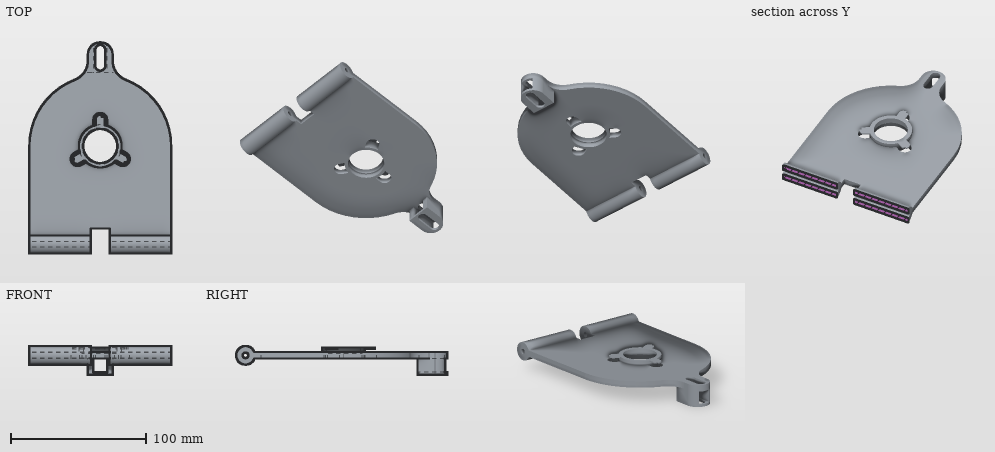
import cadquery as cq
import math

plate_width = 105.0
plate_thickness = 5.0
plate_radius = plate_width / 2
plate_top = plate_thickness / 2
plate_bottom = -plate_top

hinge_diameter = 14.0
hinge_pin_diameter = 4.0
hinge_y = -72.5
hinge_gap_width = 13.7
hinge_gap_end_y = -61.0

lug_width = 18.5
lug_radius = lug_width / 2
lug_tip_y = 76.72
lug_center_y = lug_tip_y - lug_radius
lug_blend_radius = 15.0
lug_slot_width = 7.2
lug_slot_length = 19.0
lug_slot_margin = 2.0

box_length = 22.25
box_height = 12.0
box_floor_thickness = 2.0
box_channel_width = 10.0
box_bottom = plate_bottom - box_height

ring_outer_diameter = 31.6
ring_bore_diameter = 25.06
ring_recess_diameter = 27.0
ring_recess_depth = 4.0
ring_height = 3.3
ring_top = plate_top + ring_height
arm_count = 3
arm_first_angle = 90.0
arm_width = 7.0
arm_reach = 23.25
arm_thickness = 1.0
arm_notch_offset = 1.2
arm_notch_radius = 21.8
arm_slot_width = 10.0
arm_slot_reach = 24.3


def extruded_between(sketch, bottom, top):
    return sketch.extrude(top - bottom).translate((0, 0, bottom))


def disc(diameter, bottom, top):
    return extruded_between(cq.Workplane("XY").circle(diameter / 2), bottom, top)


def make_plate():
    blend_x = lug_radius + lug_blend_radius
    center_distance = plate_radius + lug_blend_radius
    blend_y = math.sqrt(center_distance**2 - blend_x**2)
    blend_angle = math.atan2(blend_y, blend_x)
    touch_x = plate_radius * math.cos(blend_angle)
    touch_y = plate_radius * math.sin(blend_angle)
    shoulder_x = plate_radius * math.cos(blend_angle / 2)
    shoulder_y = plate_radius * math.sin(blend_angle / 2)
    middle_angle = (blend_angle + 2 * math.pi) / 2
    middle_x = blend_x + lug_blend_radius * math.cos(middle_angle)
    middle_y = blend_y + lug_blend_radius * math.sin(middle_angle)
    outline = (
        cq.Workplane("XY")
        .moveTo(-plate_radius, hinge_y)
        .lineTo(plate_radius, hinge_y)
        .lineTo(plate_radius, 0)
        .threePointArc((shoulder_x, shoulder_y), (touch_x, touch_y))
        .threePointArc((middle_x, middle_y), (lug_radius, blend_y))
        .lineTo(lug_radius, lug_center_y)
        .threePointArc((0, lug_tip_y), (-lug_radius, lug_center_y))
        .lineTo(-lug_radius, blend_y)
        .threePointArc((-middle_x, middle_y), (-touch_x, touch_y))
        .threePointArc((-shoulder_x, shoulder_y), (-plate_radius, 0))
        .close()
    )
    return extruded_between(outline, plate_bottom, plate_top)


def make_hinge_barrel():
    return (
        cq.Workplane("YZ")
        .center(hinge_y, 0)
        .circle(hinge_diameter / 2)
        .extrude(plate_width / 2, both=True)
    )


def make_hinge_cuts():
    pin_hole = (
        cq.Workplane("YZ")
        .center(hinge_y, 0)
        .circle(hinge_pin_diameter / 2)
        .extrude(plate_width / 2, both=True)
    )
    gap_start_y = hinge_y - hinge_diameter / 2
    gap_length = hinge_gap_end_y - gap_start_y
    gap = (
        cq.Workplane("XY")
        .box(hinge_gap_width, gap_length, hinge_diameter)
        .translate((0, gap_start_y + gap_length / 2, 0))
    )
    return pin_hole.union(gap)


def make_lug_box():
    box_back_y = lug_tip_y - box_length
    outline = (
        cq.Workplane("XY")
        .moveTo(-lug_radius, box_back_y)
        .lineTo(lug_radius, box_back_y)
        .lineTo(lug_radius, lug_center_y)
        .threePointArc((0, lug_tip_y), (-lug_radius, lug_center_y))
        .close()
    )
    box = extruded_between(outline, box_bottom, plate_bottom)
    channel_center_y = lug_tip_y - box_length / 2
    channel_profile = cq.Workplane("XY").center(0, channel_center_y).rect(box_channel_width, box_length)
    channel = extruded_between(channel_profile, box_bottom + box_floor_thickness, plate_bottom)
    return box.cut(channel)


def make_lug_slot():
    slot_center_y = lug_tip_y - lug_slot_margin - lug_slot_length / 2
    slot = cq.Workplane("XY").center(0, slot_center_y).slot2D(lug_slot_length, lug_slot_width, 90)
    return extruded_between(slot, box_bottom, plate_top)


def repeated_around_ring(arm):
    """Copies of a shape pointing along +X, spread evenly about the ring axis."""
    copies = cq.Workplane("XY")
    for index in range(arm_count):
        angle = arm_first_angle + index * 360 / arm_count
        copies = copies.union(arm.rotate((0, 0, 0), (0, 0, 1), angle))
    return copies


def round_ended_bar(width, reach, bottom, top):
    """Bar from the ring axis along +X with a rounded outer end."""
    straight = reach - width / 2
    outline = (
        cq.Workplane("XY")
        .moveTo(0, -width / 2)
        .lineTo(straight, -width / 2)
        .threePointArc((reach, 0), (straight, width / 2))
        .lineTo(0, width / 2)
        .close()
    )
    return extruded_between(outline, bottom, top)


def make_arm():
    arm_bottom = ring_top - arm_thickness
    notch_length = arm_reach - arm_notch_radius
    notch_width = arm_width / 2 - arm_notch_offset
    notch_outline = (
        cq.Workplane("XY")
        .center(arm_notch_radius + notch_length / 2, -arm_notch_offset - notch_width / 2)
        .rect(notch_length, notch_width)
    )
    notch = extruded_between(notch_outline, arm_bottom, ring_top)
    return round_ended_bar(arm_width, arm_reach, arm_bottom, ring_top).cut(notch)


def make_ring():
    ring = disc(ring_outer_diameter, plate_bottom, ring_top)
    return ring.union(repeated_around_ring(make_arm()))


def make_arm_slots():
    """Slots through the plate; the ring body fills their inner ends again."""
    return repeated_around_ring(round_ended_bar(arm_slot_width, arm_slot_reach, plate_bottom, plate_top))


def make_ring_bore():
    bore = disc(ring_bore_diameter, plate_bottom, ring_top)
    recess = disc(ring_recess_diameter, plate_bottom, plate_bottom + ring_recess_depth)
    return bore.union(recess)


result = (
    make_plate()
    .union(make_hinge_barrel())
    .cut(make_hinge_cuts())
    .union(make_lug_box())
    .cut(make_lug_slot())
    .cut(make_arm_slots())
    .union(make_ring())
    .cut(make_ring_bore())
)